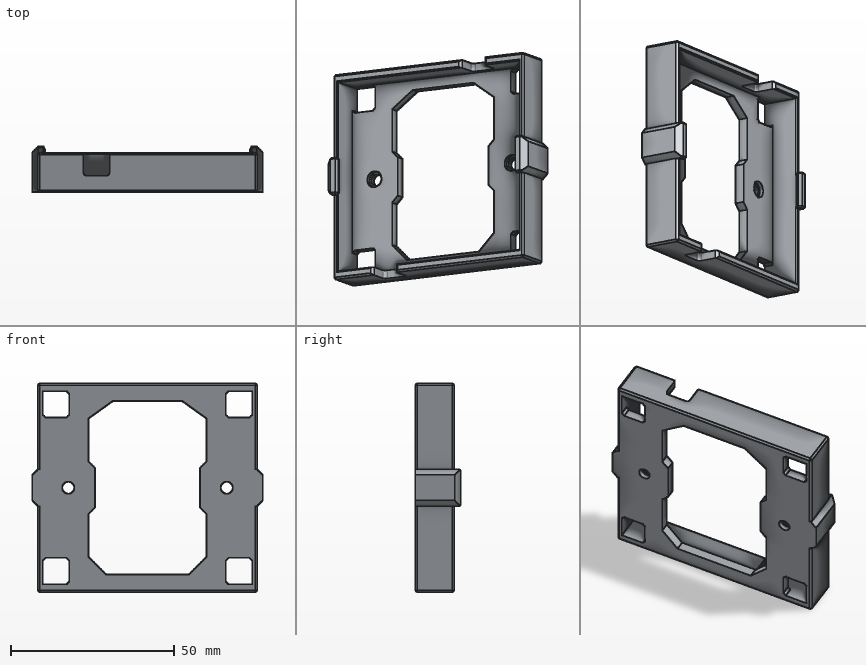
import cadquery as cq
frame_width = 67.2
frame_height = 64.0
frame_depth = 12.0
edge_chamfer = 0.6
rim_chamfer = 0.4
plate_thickness = 3.0
cavity_width = 64.0
cavity_height = 59.0

window_width = 36.0
window_height = 53.0
window_top_corner_x = 7.4
window_top_corner_z = 5.3
window_bottom_corner = 5.3
ear_reach = 2.0
ear_inner_half_height = 6.0

screw_hole_diameter = 3.6
counterbore_diameter = 5.0
counterbore_depth = 1.3
screw_spacing = 48.5
corner_opening = 8.0
corner_opening_chamfer = 0.8

notch_width = 8.0
notch_depth = 7.0
notch_radius = 1.0
notch_offset = 15.6
notch_mouth_chamfer = 0.8

overall_width = 70.6
overall_depth = 14.0
clip_side_chamfer = 1.8
clip_back_chamfer = 1.9
clip_half_height = 5.7
clip_end_chamfer = 0.5
lip_overhang = 0.7
lip_start = 11.7
lip_underside_bevel = 0.6
lip_crest_bevel_x = 0.5
lip_crest_bevel_y = 1.1


def block(x_min, x_max, y_min, y_max, z_min, z_max):
    """Axis-aligned box given by its limits."""
    size = (x_max - x_min, y_max - y_min, z_max - z_min)
    return cq.Workplane("XY").box(*size, centered=False).translate((x_min, y_min, z_min))


def centred_block(width, height, y_min, y_max):
    """Box centred on the Y axis."""
    return block(-width / 2, width / 2, y_min, y_max, -height / 2, height / 2)


def prism_along_y(points, depth):
    """Extrude an XZ outline from y = 0 towards +Y."""
    return cq.Workplane("XZ").polyline(points).close().extrude(-depth)


def make_shell():
    outer = centred_block(frame_width, frame_height, 0, frame_depth).edges().chamfer(edge_chamfer)
    cavity = centred_block(cavity_width, cavity_height, plate_thickness, frame_depth)
    rim = (
        cq.Workplane("XZ", origin=(0, frame_depth, 0))
        .rect(cavity_width + 2 * rim_chamfer, cavity_height + 2 * rim_chamfer)
        .extrude(rim_chamfer, taper=45)
    )
    return outer.cut(cavity).cut(rim)


def make_window():
    half_width = window_width / 2
    half_height = window_height / 2
    ear_x = half_width - ear_reach
    ear_outer_half_height = ear_inner_half_height + ear_reach
    right_side = [
        (half_width - window_bottom_corner, -half_height),
        (half_width, -half_height + window_bottom_corner),
        (half_width, -ear_outer_half_height),
        (ear_x, -ear_inner_half_height),
        (ear_x, ear_inner_half_height),
        (half_width, ear_outer_half_height),
        (half_width, half_height - window_top_corner_z),
        (half_width - window_top_corner_x, half_height),
    ]
    left_side = [(-x, z) for x, z in reversed(right_side)]
    return prism_along_y(right_side + left_side, plate_thickness)


def make_corner_opening(side_x, side_z):
    """Square opening flush with the cavity walls; only its outermost corner is sharp."""
    outer_x = cavity_width / 2
    outer_z = cavity_height / 2
    opening = block(
        outer_x - corner_opening, outer_x, 0, plate_thickness, outer_z - corner_opening, outer_z
    )
    opening = opening.edges("|Y and (<X or <Z)").chamfer(corner_opening_chamfer)
    if side_x < 0:
        opening = opening.mirror("YZ")
    if side_z < 0:
        opening = opening.mirror("XY")
    return opening


def make_screw_hole(side_x):
    """Through hole with a counterbore in the back of the plate."""
    hole = cq.Workplane("XZ").circle(screw_hole_diameter / 2).extrude(-plate_thickness)
    counterbore = (
        cq.Workplane("XZ", origin=(0, plate_thickness, 0))
        .circle(counterbore_diameter / 2)
        .extrude(counterbore_depth)
    )
    return hole.union(counterbore).translate((side_x * screw_spacing / 2, 0, 0))


def make_notch(side_z):
    """Notch cut from the back edge; top notch on the left, bottom notch on the right."""
    centre_x = -side_z * notch_offset
    half_width = notch_width / 2
    wall_inner_z = cavity_height / 2
    wall_outer_z = frame_height / 2
    slot = block(
        centre_x - half_width, centre_x + half_width,
        frame_depth - notch_depth, frame_depth, wall_inner_z, wall_outer_z,
    )
    slot = slot.edges("|Z and <Y").fillet(notch_radius)
    mouth = (
        cq.Workplane("XY", origin=(centre_x, 0, wall_inner_z))
        .moveTo(-half_width, frame_depth - notch_mouth_chamfer)
        .lineTo(half_width, frame_depth - notch_mouth_chamfer)
        .lineTo(half_width + notch_mouth_chamfer, frame_depth)
        .lineTo(-half_width - notch_mouth_chamfer, frame_depth)
        .close()
        .extrude(wall_outer_z - wall_inner_z)
    )
    notch = slot.union(mouth)
    if side_z < 0:
        notch = notch.mirror("XY")
    return notch


def make_clip():
    """Snap clip on the right side, with a bevelled lip over the cavity."""
    outer_x = overall_width / 2
    inner_x = cavity_width / 2
    lip_x = inner_x - lip_overhang
    straight_half_height = clip_half_height - clip_end_chamfer
    front_margin = 2 * clip_end_chamfer
    section = [
        (inner_x, -front_margin),
        (outer_x, -front_margin),
        (outer_x, overall_depth - clip_back_chamfer),
        (outer_x - clip_back_chamfer, overall_depth),
        (lip_x + lip_crest_bevel_x, overall_depth),
        (lip_x, overall_depth - lip_crest_bevel_y),
        (lip_x, lip_start + lip_underside_bevel),
        (lip_x + lip_underside_bevel, lip_start),
        (inner_x, lip_start),
    ]
    body = cq.Workplane("XY").polyline(section).close().extrude(straight_half_height, both=True)
    bevelled_end = (
        cq.Workplane("XY", origin=(0, 0, straight_half_height))
        .polyline(section).close()
        .extrude(clip_end_chamfer, taper=45)
    )
    body = body.union(bevelled_end).union(bevelled_end.mirror("XY"))

    envelope = block(
        lip_x, outer_x, 0, overall_depth, -clip_half_height, clip_half_height
    ).edges(">X and |Y").chamfer(clip_side_chamfer)
    return body.intersect(envelope)


result = make_shell().cut(make_window())
for side_x in (-1, 1):
    result = result.cut(make_screw_hole(side_x))
    for side_z in (-1, 1):
        result = result.cut(make_corner_opening(side_x, side_z))
for side_z in (-1, 1):
    result = result.cut(make_notch(side_z))
clip = make_clip()
result = result.union(clip).union(clip.mirror("YZ"))